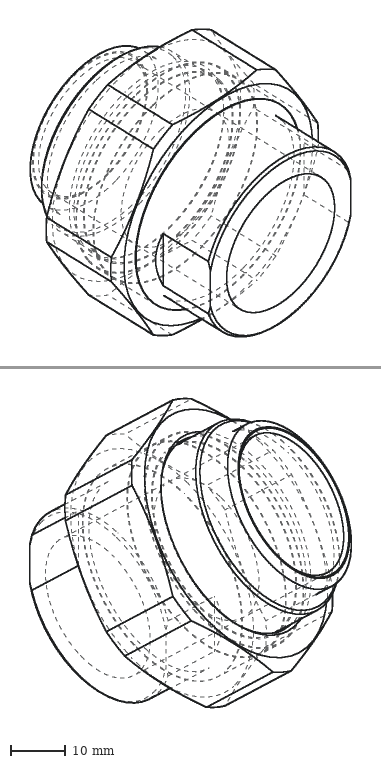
import cadquery as cq
import math

length = 49.0
bore_radius = 28.5 / 2
sleeve_radius = 39.0 / 2
edge_chamfer = 0.55
neck_fillet = 1.0

nut_start = 14.5
nut_end = 32.95
nut_across_flats = 50.0
nut_corner_radius = 54.7 / 2
nut_face_radius = 49.65 / 2
nut_chamfer_depth = 0.95
nut_lip_radius = 39.5 / 2
nut_entry_chamfer = 0.6
nut_cavity_radius = 43.35 / 2

nose_radius = 33.7 / 2
nose_tip_radius = 30.3 / 2
nose_chamfer_length = 1.1
nose_length = 6.05
bore_chamfer = 0.65
flange_radius = 43.0 / 2
flange_start = 17.5
joint = 21.85

neck_fillet_end = 33.8
shoulder_end = neck_fillet_end - neck_fillet
flat_half_spacing = 18.5
flat_start = 36.9

arc_mid = neck_fillet * (1 - math.sqrt(0.5))


def revolve_about_x(profile):
    """Turn an (axial position, radius) profile into a solid about the X axis."""
    return profile.close().revolve(360, (0, 0, 0), (1, 0, 0))


def make_sleeve():
    """Inlet sleeve with a stepped nose and a flange held inside the nut."""
    return revolve_about_x(
        cq.Workplane("XY")
        .moveTo(0, bore_radius + bore_chamfer)
        .lineTo(0, nose_tip_radius)
        .lineTo(nose_chamfer_length, nose_radius)
        .lineTo(nose_length - neck_fillet, nose_radius)
        .threePointArc(
            (nose_length - arc_mid, nose_radius + arc_mid),
            (nose_length, nose_radius + neck_fillet),
        )
        .lineTo(nose_length, sleeve_radius - edge_chamfer)
        .lineTo(nose_length + edge_chamfer, sleeve_radius)
        .lineTo(flange_start, sleeve_radius)
        .lineTo(flange_start, flange_radius)
        .lineTo(joint, flange_radius)
        .lineTo(joint, bore_radius)
        .lineTo(bore_chamfer, bore_radius)
    )


def make_tailpiece():
    """Outlet tailpiece: shoulder inside the nut, filleted neck and two wrench flats."""
    body = revolve_about_x(
        cq.Workplane("XY")
        .moveTo(joint, bore_radius)
        .lineTo(joint, nut_cavity_radius)
        .lineTo(shoulder_end, nut_cavity_radius)
        .lineTo(shoulder_end, sleeve_radius + neck_fillet)
        .threePointArc(
            (shoulder_end + arc_mid, sleeve_radius + arc_mid),
            (neck_fillet_end, sleeve_radius),
        )
        .lineTo(length - edge_chamfer, sleeve_radius)
        .lineTo(length, sleeve_radius - edge_chamfer)
        .lineTo(length, bore_radius)
    )
    flat_depth = sleeve_radius - flat_half_spacing
    flat_cut = (
        cq.Workplane("XY")
        .moveTo(flat_start, flat_half_spacing)
        .lineTo(flat_start - flat_depth, sleeve_radius)
        .lineTo(length, sleeve_radius)
        .lineTo(length, flat_half_spacing)
        .close()
        .extrude(sleeve_radius, both=True)
    )
    return body.cut(flat_cut).cut(flat_cut.mirror("XZ"))


def make_nut():
    """Hexagonal nut with corners on the Y axis, turned corners and conical end chamfers."""
    hexagon = (
        cq.Workplane("YZ", origin=(nut_start, 0, 0))
        .polygon(6, nut_across_flats / math.cos(math.pi / 6))
        .extrude(nut_end - nut_start)
    )
    turned_ring = revolve_about_x(
        cq.Workplane("XY")
        .moveTo(nut_start, nut_lip_radius + nut_entry_chamfer)
        .lineTo(nut_start, nut_face_radius)
        .lineTo(nut_start + nut_chamfer_depth, nut_corner_radius)
        .lineTo(nut_end - nut_chamfer_depth, nut_corner_radius)
        .lineTo(nut_end, nut_face_radius)
        .lineTo(nut_end, nut_cavity_radius)
        .lineTo(flange_start, nut_cavity_radius)
        .lineTo(flange_start, nut_lip_radius)
        .lineTo(nut_start + nut_entry_chamfer, nut_lip_radius)
    )
    return hexagon.intersect(turned_ring)


sleeve = make_sleeve()
tailpiece = make_tailpiece()
nut = make_nut()

result = cq.Compound.makeCompound([sleeve.val(), tailpiece.val(), nut.val()])